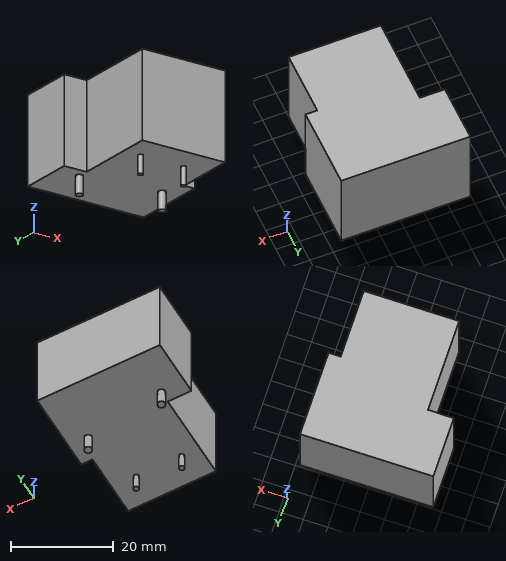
import cadquery as cq

length_x = 27.4
length_y = 31.8
body_height = 19.4
left_step_width = 5.3
left_shoulder_depth = 12.6
right_step_width = 2.5
right_shoulder_depth = 17.6

pitch = 2.54
pin_length = 4.0
thick_pin_diameter = 1.6
thin_pin_diameter = 1.1

thick_pin_x = 5.3
thick_pin_y = -10.1
thick_pin_spacing_x = 7 * pitch
thick_pin_stagger_y = pitch
thick_pins = [
    (thick_pin_x, thick_pin_y),
    (thick_pin_x + thick_pin_spacing_x, thick_pin_y - thick_pin_stagger_y),
]

thin_pin_x = 9.3
thin_pin_spacing_x = 4 * pitch
thin_row_y = thick_pin_y - 6 * pitch
thin_pins = [
    (thin_pin_x, thin_row_y),
    (thin_pin_x + thin_pin_spacing_x, thin_row_y),
]


def make_housing():
    """Stepped block with its back left bottom corner at the origin."""
    block_right = length_x - right_step_width
    outline = [
        (0, 0),
        (length_x, 0),
        (length_x, -right_shoulder_depth),
        (block_right, -right_shoulder_depth),
        (block_right, -length_y),
        (left_step_width, -length_y),
        (left_step_width, -left_shoulder_depth),
        (0, -left_shoulder_depth),
    ]
    return cq.Workplane("XY").polyline(outline).close().extrude(body_height)


def make_pins(centres, diameter):
    """Round pins hanging down from the underside of the housing."""
    return cq.Workplane("XY").pushPoints(centres).circle(diameter / 2).extrude(-pin_length)


result = (
    make_housing()
    .union(make_pins(thick_pins, thick_pin_diameter))
    .union(make_pins(thin_pins, thin_pin_diameter))
)